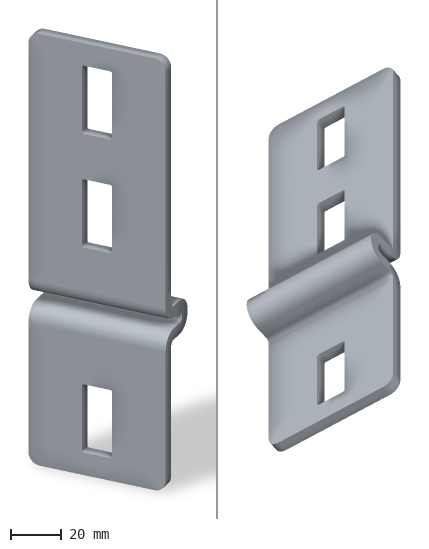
import cadquery as cq

width = 60.0
height = 190.0
thickness = 5.0
corner_radius = 5.0

depth = 20.0
fold_height = 71.5
fold_gap = 5.0
inner_bend_radius = 2.0
outer_bend_radius = inner_bend_radius + thickness

slot_width = 13.3
slot_height = 30.0
slot_corner_radius = 1.0
slot_margin = 9.9
slot_pitch = 50.0

half_gap = fold_gap / 2
half_fold = half_gap + thickness


def folded_strip():
    """Strip of constant thickness with a sharp-cornered U fold, centred on X."""
    profile = [
        (0, 0),
        (0, fold_height - half_gap),
        (depth - thickness, fold_height - half_gap),
        (depth - thickness, fold_height + half_gap),
        (0, fold_height + half_gap),
        (0, height),
        (thickness, height),
        (thickness, fold_height + half_fold),
        (depth, fold_height + half_fold),
        (depth, fold_height - half_fold),
        (thickness, fold_height - half_fold),
        (thickness, 0),
    ]
    return cq.Workplane("YZ").polyline(profile).close().extrude(width / 2, both=True)


def round_bends(body):
    """Round both sides of each of the four bends of the fold."""
    bend_edges = [
        (0, half_gap, outer_bend_radius),
        (thickness, half_fold, inner_bend_radius),
        (depth - thickness, half_gap, inner_bend_radius),
        (depth, half_fold, outer_bend_radius),
    ]
    for y, offset, radius in bend_edges:
        for side in (-1, 1):
            place = (0, y, fold_height + side * offset)
            edge = cq.selectors.NearestToPointSelector(place)
            body = body.edges("|X").edges(edge).fillet(radius)
    return body


def round_strip_corners(body):
    """Round the four outer corners of the strip."""
    for end in ("<Z", ">Z"):
        body = body.faces(end).edges("|Y").fillet(corner_radius)
    return body


def slot_cutter(center_height):
    """Round-cornered slot body passing through the strip thickness."""
    return (
        cq.Workplane("XY")
        .box(slot_width, 2 * thickness, slot_height)
        .edges("|Y")
        .fillet(slot_corner_radius)
        .translate((0, thickness / 2, center_height))
    )


bottom_slot = slot_margin + slot_height / 2
top_slot = height - bottom_slot

result = round_strip_corners(round_bends(folded_strip()))
for slot_center in (bottom_slot, top_slot - slot_pitch, top_slot):
    result = result.cut(slot_cutter(slot_center))